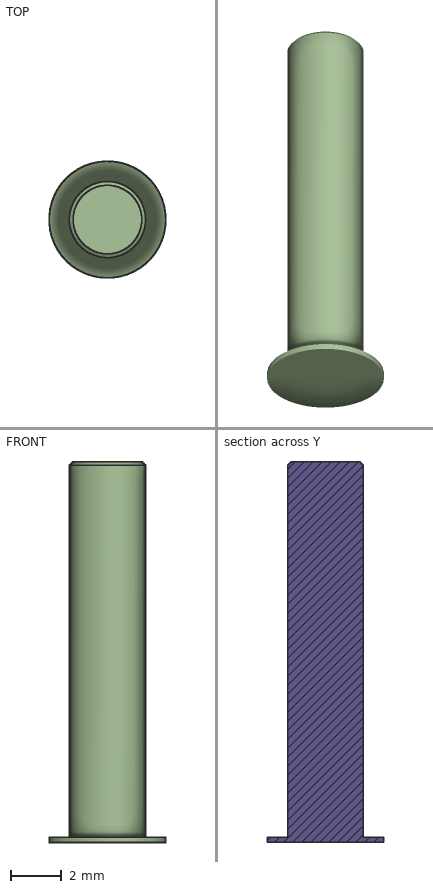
import cadquery as cq

TOTAL_LENGTH = 15.0
SHANK_DIAMETER = 3.0
HEAD_DIAMETER = 4.6
HEAD_THICKNESS = 0.22
TIP_CHAMFER = 0.15


def make_head():
    """Thin disc at the base of the pin."""
    return cq.Workplane("XY").circle(HEAD_DIAMETER / 2).extrude(HEAD_THICKNESS)


def make_shank():
    """Cylindrical shank with a chamfered tip."""
    shank = cq.Workplane("XY").circle(SHANK_DIAMETER / 2).extrude(TOTAL_LENGTH)
    return shank.faces(">Z").edges().chamfer(TIP_CHAMFER)


result = make_head().union(make_shank())